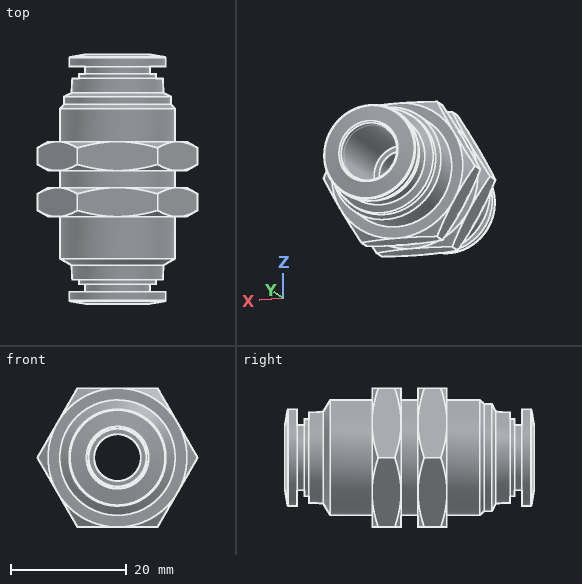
import cadquery as cq
import math

length = 43.2
half_length = length / 2

body_radius = 10.0
sleeve_root = 6.7
front_chamfer_end = 7.85
flange_radius = 9.3
flange_start = 7.35
flange_end = 8.7
back_chamfer_end = 9.45

collar_radius = 8.4
collar_back = 2.15
rim_size = 0.17
rim_start = 0.48
neck_radius = 5.65
step_start = 3.4
step_radius = 6.7
sleeve_start = 4.2
sleeve_tip_radius = 7.85
sleeve_root_radius = 8.0

passage_radius = 4.0
socket_radius = 4.95
socket_depth = 17.3
mouth_radius = 5.4
throat_radius = 5.1
mouth_depth = mouth_radius - throat_radius
throat_depth = 1.2

nut_across_flats = 24.0
nut_across_corners = nut_across_flats / math.cos(math.pi / 6)
nut_width = 5.0
nut_spacing = 7.95
nut_chamfer_angle = math.radians(30)
nut_offsets = (0.0, -nut_spacing)
nut_inset = 17.63
first_nut_center = half_length - nut_inset


def revolve_about_y(points):
    """Revolve a closed (radius, y) outline about the Y axis."""
    return cq.Workplane("XY").polyline(points).close().revolve(360, (0, 0), (0, 1))


def end_outline():
    """Outline of a push-in end as (radius, distance inwards), from tip to sleeve root."""
    return [
        (mouth_radius, 0),
        (collar_radius - rim_size, rim_start),
        (collar_radius, rim_start + rim_size),
        (collar_radius, collar_back),
        (neck_radius, collar_back),
        (neck_radius, step_start),
        (step_radius, step_start),
        (step_radius, sleeve_start),
        (sleeve_tip_radius, sleeve_start),
        (sleeve_root_radius, sleeve_root),
    ]


def make_body():
    """Solid turned body with both push-in ends."""
    front = [(radius, inset - half_length) for radius, inset in end_outline()]
    back = [(radius, half_length - inset) for radius, inset in reversed(end_outline())]
    middle = [
        (body_radius, front_chamfer_end - half_length),
        (body_radius, half_length - back_chamfer_end),
        (flange_radius, half_length - flange_end),
        (flange_radius, half_length - flange_start),
    ]
    return revolve_about_y([(0, -half_length)] + front + middle + back + [(0, half_length)])


def make_nut(center_y):
    """Hexagonal nut whose corners are cut by a cone at both faces."""
    half_width = nut_width / 2
    face_radius = nut_across_flats / 2
    corner_radius = nut_across_corners / 2
    chamfer_depth = (corner_radius - face_radius) * math.tan(nut_chamfer_angle)
    chamfer_y = half_width - chamfer_depth
    hexagon = (
        cq.Workplane("XZ")
        .polygon(6, nut_across_corners)
        .extrude(half_width, both=True)
    )
    envelope = revolve_about_y([
        (0, -half_width),
        (face_radius, -half_width),
        (corner_radius, -chamfer_y),
        (corner_radius, chamfer_y),
        (face_radius, half_width),
        (0, half_width),
    ])
    return hexagon.intersect(envelope).translate((0, center_y, 0))


def make_bore():
    """Through passage with a chamfered, tapering tube socket at each end."""
    socket_floor = half_length - socket_depth
    throat_end = half_length - throat_depth
    mouth_end = half_length - mouth_depth
    upper = [
        (passage_radius, socket_floor),
        (socket_radius, socket_floor),
        (socket_radius, throat_end),
        (throat_radius, mouth_end),
        (mouth_radius, half_length),
    ]
    lower = [(radius, -y) for radius, y in reversed(upper)]
    return revolve_about_y([(0, -half_length)] + lower + upper + [(0, half_length)])


result = make_body()
for offset in nut_offsets:
    result = result.union(make_nut(first_nut_center + offset))
result = result.cut(make_bore())